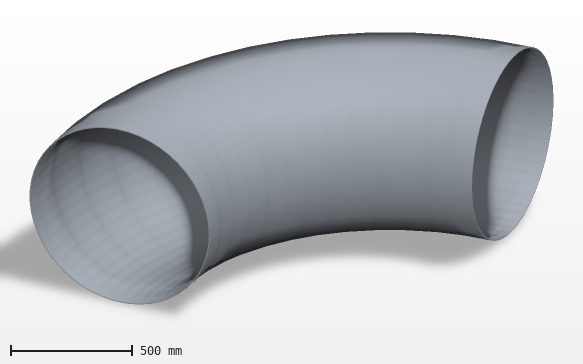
import cadquery as cq

outer_diameter = 813.0
wall_thickness = 4.0
bend_radius = 1.5 * outer_diameter
bend_angle = 90.0

outer_radius = outer_diameter / 2
inner_radius = outer_radius - wall_thickness

pipe_section = (
    cq.Workplane("XZ")
    .center(-bend_radius, 0)
    .circle(outer_radius)
    .circle(inner_radius)
)

axis_start = (bend_radius, 0)
axis_end = (bend_radius, -1)
result = pipe_section.revolve(bend_angle, axis_start, axis_end)